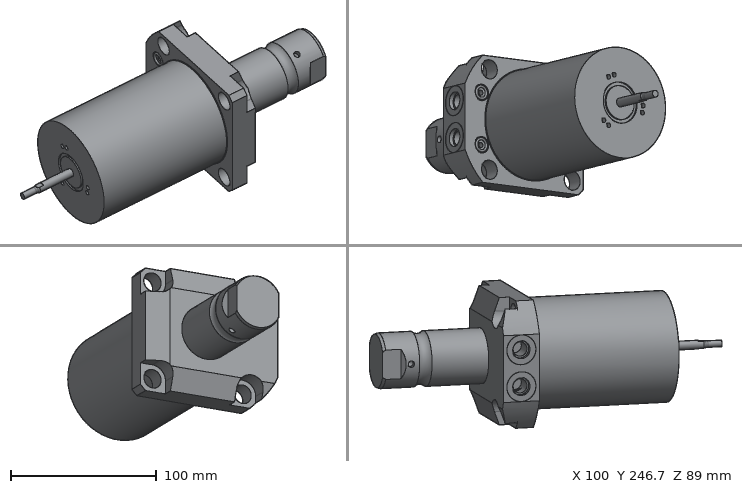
import cadquery as cq
import math


FLANGE_THICKNESS = 25.7
FLANGE_LEFT = 55.5
FLANGE_RIGHT = 44.5
FLANGE_HALF_HEIGHT = 44.5
FLANGE_ROUND_RADIUS = 60.2
CORNER_CHAMFER = 4.0
BEVEL_DEPTH = 6.0
BEVEL_WIDTH = 16.0
MOUNT_OFFSET = 35.0
MOUNT_HOLE_RADIUS = 6.7
POCKET_RADIUS = 10.0
POCKET_FLOOR_Y = 12.5

BARREL_RADIUS = 38.5
BARREL_LENGTH = 104.8
LIP_RADIUS = 39.0
LIP_HEIGHT = 0.5
FACE_GROOVE_OUTER = 14.3
FACE_GROOVE_INNER = 11.8
FACE_GROOVE_DEPTH = 1.2
SCREW_HOLE_RADIUS = 1.6
SCREW_HOLE_DEPTH = 3.7
SCREW_CIRCLE_RADIUS = 19.5
SCREW_PAIR_ANGLE = 15
ROD_DIAMETER = 6.2
ROD_FLAT_START = 129.5
ROD_CHAMFER_START = 133.0
ROD_CHAMFER_END = 134.5
ROD_NECK_END = 136.0
ROD_COLLAR_RADIUS = 2.5
ROD_TIP_RADIUS = 2.35
ROD_TIP = 146.0

SLEEVE_RADIUS = 19.2
SLEEVE_END = 246.7 - ROD_TIP
SLEEVE_CHAMFER_LENGTH = 2.2
SLEEVE_CHAMFER_RADIAL = 0.7
SLEEVE_GROOVE_START = 66.0
SLEEVE_GROOVE_END = 75.0
SLEEVE_GROOVE_DEPTH = 1.7
WRENCH_HALF_WIDTH = 16.3
WRENCH_FLAT_START = 87.5
PIN_HOLE_Y = 81.0
PIN_HOLE_RADIUS = 2.2
PIN_HOLE_DEPTH = 3.7

DRILL_POINT_ANGLE = 118

SIDE_PORT_Y = FLANGE_THICKNESS / 2
SIDE_PORT_Z = 12.8
SIDE_PORT_RADIUS = 5.0
SIDE_PORT_MOUTH_RADIUS = 6.2
SIDE_PORT_MOUTH_DEPTH = 3.5
SIDE_PORT_DEPTH = 17.3
SPOTFACE_RADIUS = 10.4
SPOTFACE_DEPTH = 0.2
FRONT_PORT_X = -41.5
FRONT_PORT_Z = 18.3
PASSAGE_RADIUS = 1.7
SEAL_SEAT_RADIUS = 5.7
SEAL_SEAT_DEPTH = 1.2

SEAL_CORD_RADIUS = 0.86
SEAL_RADIUS = 4.2


def cylinder_y(radius, y_start, y_end, x=0.0, z=0.0):
    """Cylinder along Y between two Y positions."""
    return cq.Workplane(cq.Solid.makeCylinder(
        radius, y_end - y_start, cq.Vector(x, y_start, z), cq.Vector(0, 1, 0)))


def box(x_range, y_range, z_range):
    """Box given by its lowest and highest coordinate on each axis."""
    lows, highs = zip(x_range, y_range, z_range)
    sizes = [high - low for low, high in zip(lows, highs)]
    return cq.Workplane(cq.Solid.makeBox(*sizes, cq.Vector(*lows)))


def revolve_about_y(outline):
    """Revolve a closed outline, drawn in the YZ plane with Z as the radius, about the Y axis."""
    return outline.close().revolve(360, (0, 0, 0), (1, 0, 0))


def drilled_hole(radius, depth, mouth, inward):
    """Blind hole cutter with a conical bottom; depth is measured to where the cone starts."""
    point_height = radius / math.tan(math.radians(DRILL_POINT_ANGLE / 2))
    shank = cq.Solid.makeCylinder(radius, depth, mouth, inward)
    point = cq.Solid.makeCone(radius, 0, point_height, mouth + inward * depth, inward)
    return cq.Workplane(shank).union(cq.Workplane(point))


def make_flange_plate():
    """Plate rounded on its -X side, with its +X corners cut and three rear edges bevelled."""
    plate = box(
        (-FLANGE_LEFT, FLANGE_RIGHT),
        (0, FLANGE_THICKNESS),
        (-FLANGE_HALF_HEIGHT, FLANGE_HALF_HEIGHT),
    )
    plate = plate.edges("|Y and >X").chamfer(CORNER_CHAMFER)

    bevel_y = FLANGE_THICKNESS - BEVEL_DEPTH
    side_profile = (
        cq.Workplane("YZ", origin=(-FLANGE_LEFT, 0, 0))
        .moveTo(0, -FLANGE_HALF_HEIGHT)
        .lineTo(bevel_y, -FLANGE_HALF_HEIGHT)
        .lineTo(FLANGE_THICKNESS, BEVEL_WIDTH - FLANGE_HALF_HEIGHT)
        .lineTo(FLANGE_THICKNESS, FLANGE_HALF_HEIGHT - BEVEL_WIDTH)
        .lineTo(bevel_y, FLANGE_HALF_HEIGHT)
        .lineTo(0, FLANGE_HALF_HEIGHT)
        .close()
        .extrude(FLANGE_LEFT + FLANGE_RIGHT)
    )
    top_profile = (
        cq.Workplane("XY", origin=(0, 0, -FLANGE_HALF_HEIGHT))
        .moveTo(-FLANGE_LEFT, 0)
        .lineTo(FLANGE_RIGHT, 0)
        .lineTo(FLANGE_RIGHT, bevel_y)
        .lineTo(FLANGE_RIGHT - BEVEL_WIDTH, FLANGE_THICKNESS)
        .lineTo(-FLANGE_LEFT, FLANGE_THICKNESS)
        .close()
        .extrude(2 * FLANGE_HALF_HEIGHT)
    )
    disc = cylinder_y(FLANGE_ROUND_RADIUS, 0, FLANGE_THICKNESS)
    return plate.intersect(side_profile).intersect(top_profile).intersect(disc)


def make_screw_pocket(x_side, z_side):
    """Mounting hole with a pocket behind it, open to the plate edges.

    It is built in the +Z half and mirrored for the -Z half.
    """
    x = x_side * MOUNT_OFFSET
    z = MOUNT_OFFSET
    depth = (POCKET_FLOOR_Y, FLANGE_THICKNESS)
    cutter = cylinder_y(MOUNT_HOLE_RADIUS, 0, FLANGE_THICKNESS, x, z)
    cutter = cutter.union(cylinder_y(POCKET_RADIUS, *depth, x, z))
    cutter = cutter.union(box((x - POCKET_RADIUS, x + POCKET_RADIUS), depth, (z, FLANGE_HALF_HEIGHT)))
    if x_side > 0:
        cutter = cutter.union(box((x, FLANGE_RIGHT), depth, (z - POCKET_RADIUS, FLANGE_HALF_HEIGHT)))
    if z_side < 0:
        cutter = cutter.mirror("XY")
    return cutter


def make_barrel():
    """Motor barrel with a lip at the flange, a ring groove and screw holes in its end face."""
    barrel = revolve_about_y(
        cq.Workplane("YZ")
        .lineTo(0, LIP_RADIUS)
        .lineTo(-LIP_HEIGHT, LIP_RADIUS)
        .lineTo(-LIP_HEIGHT, BARREL_RADIUS)
        .lineTo(-BARREL_LENGTH, BARREL_RADIUS)
        .lineTo(-BARREL_LENGTH, 0)
    )

    groove_floor = FACE_GROOVE_DEPTH - BARREL_LENGTH
    groove = cylinder_y(FACE_GROOVE_OUTER, -BARREL_LENGTH, groove_floor)
    groove = groove.cut(cylinder_y(FACE_GROOVE_INNER, -BARREL_LENGTH, groove_floor))
    barrel = barrel.cut(groove)

    for pair_angle in (0, 120, 240):
        for angle in (pair_angle, pair_angle - SCREW_PAIR_ANGLE):
            x = SCREW_CIRCLE_RADIUS * math.cos(math.radians(angle))
            z = SCREW_CIRCLE_RADIUS * math.sin(math.radians(angle))
            mouth = cq.Vector(x, -BARREL_LENGTH, z)
            barrel = barrel.cut(
                drilled_hole(SCREW_HOLE_RADIUS, SCREW_HOLE_DEPTH, mouth, cq.Vector(0, 1, 0)))
    return barrel


def make_rod():
    """Stepped rod with two flats cut next to its tapered shoulder."""
    rod_radius = ROD_DIAMETER / 2
    rod = revolve_about_y(
        cq.Workplane("YZ")
        .moveTo(-BARREL_LENGTH, 0)
        .lineTo(-BARREL_LENGTH, rod_radius)
        .lineTo(-ROD_CHAMFER_START, rod_radius)
        .lineTo(-ROD_CHAMFER_END, ROD_COLLAR_RADIUS)
        .lineTo(-ROD_NECK_END, ROD_TIP_RADIUS)
        .lineTo(-ROD_TIP, ROD_TIP_RADIUS)
        .lineTo(-ROD_TIP, 0)
    )
    for z_range in ((ROD_COLLAR_RADIUS, rod_radius), (-rod_radius, -ROD_COLLAR_RADIUS)):
        rod = rod.cut(box((-rod_radius, rod_radius), (-ROD_CHAMFER_END, -ROD_FLAT_START), z_range))
    return rod


def make_sleeve():
    """Rear sleeve with a rounded groove, a chamfered end, wrench flats and pin holes."""
    groove_middle = (SLEEVE_GROOVE_START + SLEEVE_GROOVE_END) / 2
    sleeve = revolve_about_y(
        cq.Workplane("YZ")
        .moveTo(FLANGE_THICKNESS, 0)
        .lineTo(FLANGE_THICKNESS, SLEEVE_RADIUS)
        .lineTo(SLEEVE_GROOVE_START, SLEEVE_RADIUS)
        .threePointArc(
            (groove_middle, SLEEVE_RADIUS - SLEEVE_GROOVE_DEPTH),
            (SLEEVE_GROOVE_END, SLEEVE_RADIUS),
        )
        .lineTo(SLEEVE_END - SLEEVE_CHAMFER_LENGTH, SLEEVE_RADIUS)
        .lineTo(SLEEVE_END, SLEEVE_RADIUS - SLEEVE_CHAMFER_RADIAL)
        .lineTo(SLEEVE_END, 0)
    )

    flat_depth = SLEEVE_RADIUS - WRENCH_HALF_WIDTH
    flat_cutter = (
        cq.Workplane("XY")
        .moveTo(WRENCH_HALF_WIDTH, SLEEVE_END)
        .lineTo(WRENCH_HALF_WIDTH, WRENCH_FLAT_START)
        .lineTo(SLEEVE_RADIUS, WRENCH_FLAT_START - flat_depth)
        .lineTo(SLEEVE_RADIUS, SLEEVE_END)
        .close()
        .extrude(SLEEVE_RADIUS, both=True)
    )
    sleeve = sleeve.cut(flat_cutter).cut(flat_cutter.mirror("YZ"))

    for angle in (60, 180, 300):
        outward = cq.Vector(math.cos(math.radians(angle)), 0, math.sin(math.radians(angle)))
        mouth = outward * SLEEVE_RADIUS + cq.Vector(0, PIN_HOLE_Y, 0)
        sleeve = sleeve.cut(drilled_hole(PIN_HOLE_RADIUS, PIN_HOLE_DEPTH, mouth, outward * -1))
    return sleeve


def make_port(z_side):
    """Side port with spotface and stepped bore, joined to a front passage with a seal seat."""
    mouth = cq.Vector(-FLANGE_LEFT, SIDE_PORT_Y, z_side * SIDE_PORT_Z)
    inward = cq.Vector(1, 0, 0)
    spotface = cq.Solid.makeCylinder(SPOTFACE_RADIUS, SPOTFACE_DEPTH, mouth, inward)
    counterbore = cq.Solid.makeCylinder(SIDE_PORT_MOUTH_RADIUS, SIDE_PORT_MOUTH_DEPTH, mouth, inward)
    bore = cq.Solid.makeCylinder(SIDE_PORT_RADIUS, SIDE_PORT_DEPTH, mouth, inward)

    front_z = z_side * FRONT_PORT_Z
    passage = cylinder_y(PASSAGE_RADIUS, 0, SIDE_PORT_Y, FRONT_PORT_X, front_z)
    seat = cylinder_y(SEAL_SEAT_RADIUS, 0, SEAL_SEAT_DEPTH, FRONT_PORT_X, front_z)
    port = passage.union(seat)
    for cutter in (spotface, counterbore, bore):
        port = port.union(cq.Workplane(cutter))
    return port


def make_seal(z_side):
    """O-ring resting on the floor of its seat."""
    center = cq.Vector(FRONT_PORT_X, SEAL_SEAT_DEPTH - SEAL_CORD_RADIUS, z_side * FRONT_PORT_Z)
    return cq.Solid.makeTorus(SEAL_RADIUS, SEAL_CORD_RADIUS, center, cq.Vector(0, 1, 0))


def make_spindle():
    """Spindle unit: flange with its pockets and ports, barrel, rod and rear sleeve."""
    flange = make_flange_plate()
    for z_side in (1, -1):
        for x_side in (1, -1):
            flange = flange.cut(make_screw_pocket(x_side, z_side))
        flange = flange.cut(make_port(z_side))
    return flange.union(make_barrel()).union(make_rod()).union(make_sleeve())


spindle = make_spindle()
seals = [make_seal(z_side) for z_side in (1, -1)]
result = cq.Compound.makeCompound([spindle.val(), *seals])